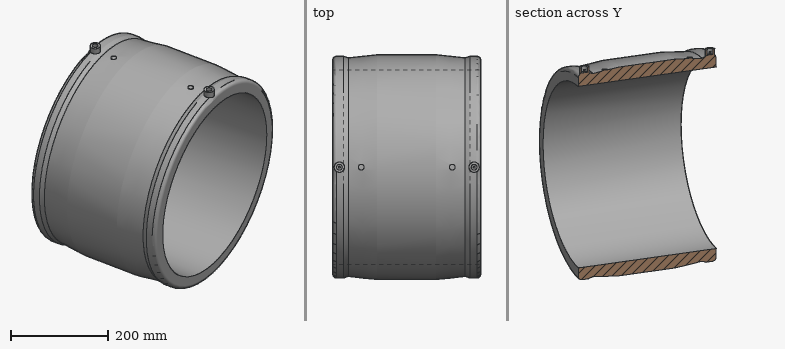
import cadquery as cq

length = 304.0
outer_radius = 462.0 / 2
bore_radius = 400.0 / 2
collar_radius = 228.0
waist_radius = 224.5
end_rounding = 8.0
collar_width = 22.0
waist_inset = 32.0
crown_half_width = 60.5

total_height = 472
terminal_top = total_height - outer_radius
terminal_inset = 13.5
terminal_diameter = 21.2
socket_diameter = 12.0
socket_depth = 12.0
pin_diameter = 4.0
pin_recess = 5.5

indicator_inset = 58.5
indicator_diameter = 12.0
indicator_top = 228.5

half_length = length / 2
wall_middle = (bore_radius + collar_radius) / 2


def make_sleeve():
    collar_x = half_length - collar_width
    waist_x = half_length - waist_inset
    right_edge = [
        (crown_half_width, outer_radius),
        (waist_x, waist_radius),
        (collar_x, collar_radius),
        (half_length, collar_radius),
    ]
    left_edge = [(-x, radius) for x, radius in reversed(right_edge)]
    profile = (
        cq.Workplane("XY")
        .polyline([(-half_length, bore_radius)] + left_edge + right_edge + [(half_length, bore_radius)])
        .close()
    )
    sleeve = profile.revolve(360, (0, 0, 0), (1, 0, 0))
    outer_rims = sleeve.faces("<X or >X").edges(cq.selectors.RadiusNthSelector(-1))
    return outer_rims.fillet(end_rounding)


def upright_cylinder(x, diameter, bottom, top):
    return cq.Workplane("XY", origin=(x, 0, bottom)).circle(diameter / 2).extrude(top - bottom)


def add_terminal(body, x):
    socket_floor = terminal_top - socket_depth
    post = upright_cylinder(x, terminal_diameter, wall_middle, terminal_top)
    socket = upright_cylinder(x, socket_diameter, socket_floor, terminal_top)
    pin = upright_cylinder(x, pin_diameter, wall_middle, terminal_top - pin_recess)
    return body.union(post).cut(socket).union(pin)


def add_indicator(body, x):
    return body.union(upright_cylinder(x, indicator_diameter, wall_middle, indicator_top))


result = make_sleeve()
for side in (-1, 1):
    result = add_terminal(result, side * (half_length - terminal_inset))
    result = add_indicator(result, side * (half_length - indicator_inset))